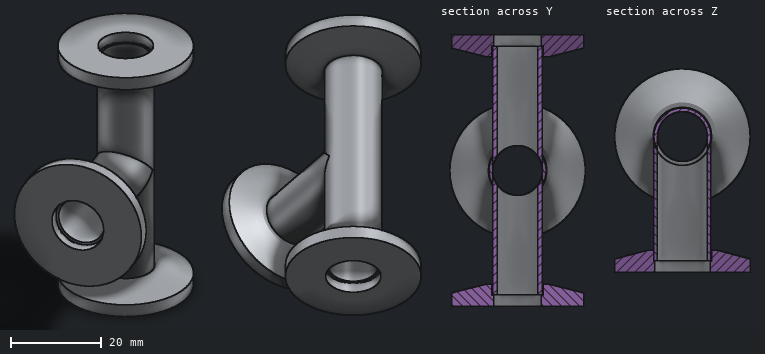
import cadquery as cq

run_length = 60.0
branch_reach = 30.0

tube_od = 12.7
tube_bore = 10.9

flange_od = 30.0
rim_thickness = 3.0
flange_thickness = 5.0
hub_od = 15.05
face_bore = 12.2
socket_bore = 12.9
socket_depth = 2.45

tube_setback = flange_thickness - socket_depth
run_half_length = run_length / 2
run_tube_half_length = run_half_length - tube_setback
branch_tube_reach = branch_reach - tube_setback


def cylinder(diameter, length, start, direction):
    return cq.Workplane(cq.Solid.makeCylinder(diameter / 2, length, cq.Vector(*start), cq.Vector(*direction)))


def make_run_tube():
    """Straight tube with a side opening for the branch."""
    start = (0, 0, -run_tube_half_length)
    length = 2 * run_tube_half_length
    tube = cylinder(tube_od, length, start, (0, 0, 1))
    bore = cylinder(tube_bore, length, start, (0, 0, 1))
    side_opening = cylinder(tube_bore, tube_od, (0, 0, 0), (0, -1, 0))
    return tube.cut(bore).cut(side_opening)


def make_branch_tube():
    """Side tube whose inner end is saddled onto the outside of the run tube."""
    tube = cylinder(tube_od, branch_tube_reach, (0, 0, 0), (0, -1, 0))
    bore = cylinder(tube_bore, branch_tube_reach, (0, 0, 0), (0, -1, 0))
    run_envelope = cylinder(tube_od, run_length, (0, 0, -run_half_length), (0, 0, 1))
    return tube.cut(run_envelope).cut(bore)


def make_flange(face_center, outward):
    """Tapered flange, revolved from its half section: x is radius, y is height above the face."""
    inward = tuple(-component for component in outward)
    face_plane = cq.Plane(origin=face_center, xDir=(1, 0, 0), normal=inward)
    half_section = [
        (face_bore / 2, 0),
        (flange_od / 2, 0),
        (flange_od / 2, rim_thickness),
        (hub_od / 2, flange_thickness),
        (socket_bore / 2, flange_thickness),
        (socket_bore / 2, tube_setback),
        (face_bore / 2, tube_setback),
    ]
    flange = cq.Workplane("XZ").polyline(half_section).close().revolve(360, (0, 0, 0), (0, 1, 0))
    return flange.val().moved(cq.Location(face_plane))


run_tube = make_run_tube()
branch_tube = make_branch_tube()

flange_places = [
    ((0, 0, run_half_length), (0, 0, 1)),
    ((0, 0, -run_half_length), (0, 0, -1)),
    ((0, -branch_reach, 0), (0, -1, 0)),
]
flanges = [make_flange(center, outward) for center, outward in flange_places]

result = cq.Compound.makeCompound([run_tube.val(), branch_tube.val(), *flanges])